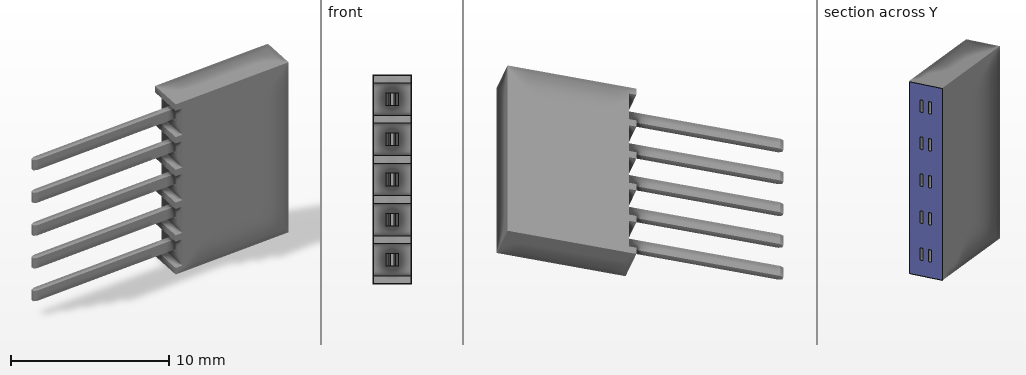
import cadquery as cq

BODY_WIDTH = 2.4
TOTAL_LENGTH = 18.52
BODY_HEIGHT = 13.2

BODY_LENGTH = 8.5
RIB_THICKNESS = 0.5
RIB_DEPTH = 0.5

PIN_COUNT = 5
PITCH = (BODY_HEIGHT - RIB_THICKNESS) / PIN_COUNT
PIN_WIDTH = 0.4
PIN_HEIGHT = 0.8
TIP_LENGTH = 0.25
TIP_WIDTH = 0.2

POCKET_SIZE = PIN_HEIGHT
POCKET_DEPTH = 0.5

BACK_Y = TOTAL_LENGTH / 2
RIB_FACE_Y = BACK_Y - BODY_LENGTH
RECESS_Y = RIB_FACE_Y + RIB_DEPTH
POCKET_FLOOR_Y = RECESS_Y + POCKET_DEPTH
TIP_Y = -TOTAL_LENGTH / 2


def box_between(width, y_start, y_end, height, z_center):
    """Box centred on X, running from y_start to y_end."""
    return (
        cq.Workplane("XY")
        .box(width, y_end - y_start, height)
        .translate((0, (y_start + y_end) / 2, z_center))
    )


def make_pin(z_center):
    """Flat pin rising from the pocket floor, tapered in width at its tip."""
    half_width = PIN_WIDTH / 2
    half_tip = TIP_WIDTH / 2
    shoulder_y = TIP_Y + TIP_LENGTH
    outline = [
        (-half_width, POCKET_FLOOR_Y),
        (-half_width, shoulder_y),
        (-half_tip, TIP_Y),
        (half_tip, TIP_Y),
        (half_width, shoulder_y),
        (half_width, POCKET_FLOOR_Y),
    ]
    return (
        cq.Workplane("XY")
        .workplane(offset=z_center - PIN_HEIGHT / 2)
        .polyline(outline)
        .close()
        .extrude(PIN_HEIGHT)
    )


result = box_between(BODY_WIDTH, RIB_FACE_Y, BACK_Y, BODY_HEIGHT, 0)

for index in range(PIN_COUNT):
    pin_z = (index - (PIN_COUNT - 1) / 2) * PITCH
    gap = box_between(BODY_WIDTH, RIB_FACE_Y, RECESS_Y, PITCH - RIB_THICKNESS, pin_z)
    pocket = box_between(POCKET_SIZE, RECESS_Y, POCKET_FLOOR_Y, POCKET_SIZE, pin_z)
    result = result.cut(gap).cut(pocket).union(make_pin(pin_z))